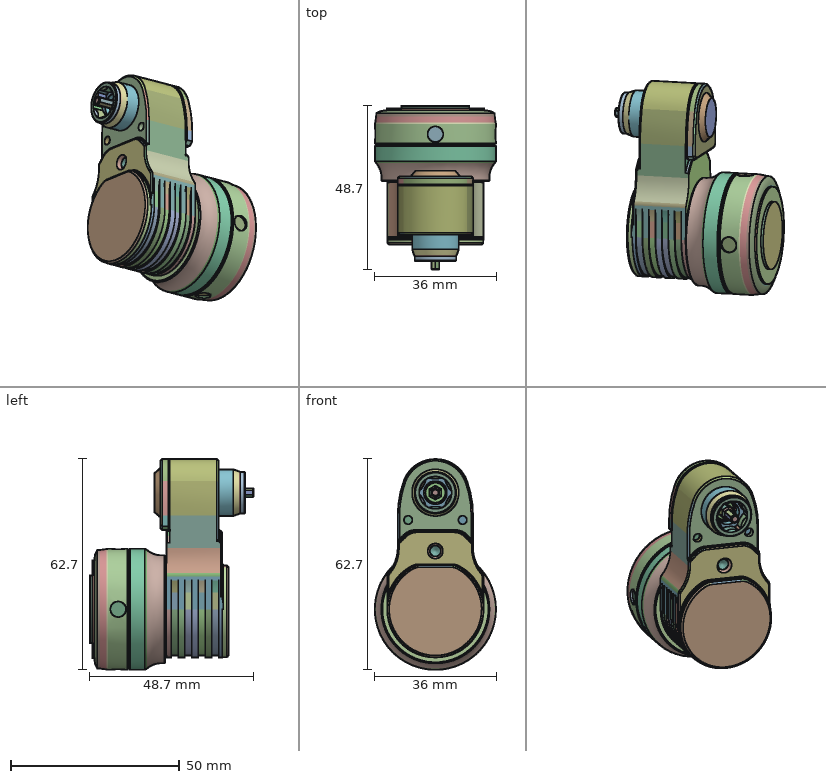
import cadquery as cq
import math


TOTAL_HEIGHT = 62.65

WHEEL_DIAMETER = 36.0
WHEEL_R = WHEEL_DIAMETER / 2
WHEEL_NECK_R = 16.1
WHEEL_NECK_START_Y = 0.25
WHEEL_NECK_CHAMFER = 0.4
NECK_FLARE_MID = (16.35, 3.4)
NECK_FLARE_END_Y = 5.75
NECK_FLARE_END_R = 17.65
RIM_START_Y = 6.3
RIM_END_Y = 17.35
SPLIT_Y = 11.15
SPLIT_WIDTH = 0.25
SPLIT_DEPTH = 1.55
SPLIT_CHAMFER = 0.3
SHOULDER_TAPER_START_Y = 17.7
SHOULDER_TAPER_START_R = 17.9
SHOULDER_TAPER_END_Y = 19.6
SHOULDER_TAPER_END_R = 17.65
SHOULDER_Y = 20.5
SHOULDER_R = 17.6
CROWN_MID = (16.65, 21.0)
CROWN_END_Y = 21.35
CROWN_END_R = 15.05
FACE_R = 14.55
FACE_Y = 21.9
HUB_DISC_R = 10.1
WHEEL_END_Y = 22.7
HUB_COLLAR_R = 13.8

POCKET_R = 2.3
POCKET_Y = 14.3
POCKET_DEPTH = 0.75
POCKET_COUNT = 4

ARM_TOP_R = 10.0
SPINDLE_Z = TOTAL_HEIGHT - WHEEL_R - ARM_TOP_R
ARM_HALF_WIDTH = 11.2
ARM_STRAIGHT_TOP_Z = 27.8
ARM_STRAIGHT_BOTTOM_Z = 18.15
ARM_NECK_R = 11.3
BODY_R = 14.35
FLANK_TOP_Z = 9.7

BODY_FRONT_Y = -16.6
ARM_FRONT_Y = -15.6
ARM_BACK_Y = -1.05
ARM_CHAMFER = 0.55
BODY_SIDE_CHAMFER = 0.45
BEVEL_BOTTOM_Z = 3.75

STEP_TOP_Z = 23.25
STEP_FLAT_HALF = 5.65
STEP_CORNER_R = 4.9
STEP_FRONT_CHAMFER = 0.45
STEP_BACK_CHAMFER = 0.25
STEP_FOOT = 0.4
STEP_FOOT_EDGE = 0.05

LID_R = 14.3
LID_FRONT_Y = -18.55
LID_FLAT_Z = 13.0
LID_CORNER_R = 5.0
LID_CHAMFER = 0.55
LID_FOOT = 0.4
LID_FOOT_EDGE = 0.05

GRIP_DEPTH = 0.55
GRIP_WIDTH = 2.05
GRIP_PITCH = 4.0
GRIP_FIRST_Y = -2.5
GRIP_COUNT = 4
GRIP_TOP_Z = 8.6
GRIP_RUNOUT_Z = 4.95

COVER_BACK_Y = 1.8
COVER_FRONT_Y = -0.6
COVER_BOTTOM_Z = 23.5
COVER_CORNER = 1.2
COVER_CHAMFER = 0.55
COVER_SEAM_DEPTH = 0.25
COVER_BOSS_BASE_R = 7.3
COVER_BOSS_TOP_R = 5.8
COVER_BOSS_END_Y = 3.5

NOSE_R = 6.95
NOSE_STRAIGHT_END_Y = -19.85
NOSE_TAPER_MID = (6.7, -20.7)
NOSE_TAPER_END_Y = -21.6
NOSE_TAPER_END_R = 6.3
NOSE_TIP_START_Y = -21.9
NOSE_TIP_R = 6.2
NOSE_END_Y = -23.4
NOSE_CHAMFER = 0.25

SOCKET_R = 4.8
SOCKET_DEPTH = 3.45
LOBE_COUNT = 6
LOBE_R = 7.25
LOBE_INNER_R = 4.15
LOBE_LEAD_DEPTH = 0.7
SOCKET_BORE_R = 3.45
SOCKET_BORE_DEPTH = 6.25
SOCKET_WELL_R = 2.95
SOCKET_WELL_DEPTH = 6.9
SPINDLE_END_Y = -26.0
SPINDLE_CORNER_R = 1.4
SPINDLE_ROOT_CORNER_R = 2.05
SPINDLE_ROOT_Y = -19.7
SPINDLE_NECK_Y = -20.25
SPINDLE_CHAMFER = 0.3

PIN_HOLE_X = 8.1
PIN_HOLE_Z = 26.5
PIN_HOLE_R = 1.25
PIN_HOLE_DEPTH = 1.9
CENTRE_HOLE_Z = 17.3
CENTRE_HOLE_R = 2.25
CENTRE_HOLE_NECK_R = 1.6
CENTRE_HOLE_NECK_DEPTH = 1.25
CENTRE_HOLE_DEPTH = 2.2


def facing_front(y):
    """Workplane at the given Y whose extrusions run toward -Y."""
    return cq.Workplane("XZ", origin=(0, y, 0))


def disc(radius, y_back, y_front, z=0):
    return facing_front(y_back).center(0, z).circle(radius).extrude(y_back - y_front)


def turned(profile, z=0):
    """Revolve a closed (radius, y) profile about the Y direction at height z."""
    return profile.revolve(360, (0, 0, 0), (0, 1, 0)).translate((0, 0, z))


def cone(base_r, base_y, top_r, top_y, z):
    points = [(0, base_y), (base_r, base_y), (top_r, top_y), (0, top_y)]
    return turned(cq.Workplane("XY").polyline(points).close(), z)


def make_wheel():
    split_back_y = SPLIT_Y + SPLIT_WIDTH / 2
    split_front_y = SPLIT_Y - SPLIT_WIDTH / 2
    split_lip_r = WHEEL_R - SPLIT_CHAMFER
    split_floor_r = WHEEL_R - SPLIT_DEPTH
    profile = (
        cq.Workplane("XY")
        .moveTo(0, WHEEL_NECK_START_Y)
        .lineTo(WHEEL_NECK_R - WHEEL_NECK_CHAMFER, WHEEL_NECK_START_Y)
        .lineTo(WHEEL_NECK_R, WHEEL_NECK_START_Y + WHEEL_NECK_CHAMFER)
        .threePointArc(NECK_FLARE_MID, (NECK_FLARE_END_R, NECK_FLARE_END_Y))
        .lineTo(WHEEL_R, RIM_START_Y)
        .lineTo(WHEEL_R, split_front_y - SPLIT_CHAMFER)
        .lineTo(split_lip_r, split_front_y)
        .lineTo(split_floor_r, split_front_y)
        .lineTo(split_floor_r, split_back_y)
        .lineTo(split_lip_r, split_back_y)
        .lineTo(WHEEL_R, split_back_y + SPLIT_CHAMFER)
        .lineTo(WHEEL_R, RIM_END_Y)
        .lineTo(SHOULDER_TAPER_START_R, SHOULDER_TAPER_START_Y)
        .lineTo(SHOULDER_TAPER_END_R, SHOULDER_TAPER_END_Y)
        .lineTo(SHOULDER_R, SHOULDER_Y)
        .threePointArc(CROWN_MID, (CROWN_END_R, CROWN_END_Y))
        .lineTo(FACE_R, CROWN_END_Y)
        .lineTo(FACE_R, FACE_Y)
        .lineTo(HUB_DISC_R, FACE_Y)
        .lineTo(HUB_DISC_R, WHEEL_END_Y)
        .lineTo(0, WHEEL_END_Y)
        .close()
    )
    wheel = turned(profile)
    pocket = (
        cq.Workplane("XY", origin=(0, POCKET_Y, WHEEL_R - POCKET_DEPTH))
        .circle(POCKET_R)
        .extrude(2 * POCKET_DEPTH)
    )
    for i in range(POCKET_COUNT):
        wheel = wheel.cut(pocket.rotate((0, 0, 0), (0, 1, 0), 360 / POCKET_COUNT * i))
    return wheel


def arm_outline(y):
    """Symmetric outline of arm and body: round top, narrow waist, round bottom."""
    rise = SPINDLE_Z - ARM_STRAIGHT_TOP_Z
    side_r = (ARM_HALF_WIDTH**2 + rise**2 - ARM_TOP_R**2) / (2 * (ARM_HALF_WIDTH - ARM_TOP_R))
    side_centre_x = ARM_HALF_WIDTH - side_r
    tangent_angle = math.asin(rise / (side_r - ARM_TOP_R))
    tangent_x = side_centre_x + side_r * math.cos(tangent_angle)
    tangent_z = ARM_STRAIGHT_TOP_Z + side_r * math.sin(tangent_angle)
    side_mid_x = side_centre_x + side_r * math.cos(tangent_angle / 2)
    side_mid_z = ARM_STRAIGHT_TOP_Z + side_r * math.sin(tangent_angle / 2)

    swing_x = BODY_R - ARM_HALF_WIDTH
    swing_z = ARM_STRAIGHT_BOTTOM_Z - FLANK_TOP_Z
    turn = 2 * math.atan(swing_x / swing_z)
    flank_round_r = swing_z / math.sin(turn) - ARM_NECK_R
    neck_end_x = ARM_HALF_WIDTH + ARM_NECK_R * (1 - math.cos(turn))
    neck_end_z = ARM_STRAIGHT_BOTTOM_Z - ARM_NECK_R * math.sin(turn)
    neck_mid_x = ARM_HALF_WIDTH + ARM_NECK_R * (1 - math.cos(turn / 2))
    neck_mid_z = ARM_STRAIGHT_BOTTOM_Z - ARM_NECK_R * math.sin(turn / 2)
    round_x = BODY_R - flank_round_r * (1 - math.cos(turn / 2))
    round_z = FLANK_TOP_Z + flank_round_r * math.sin(turn / 2)

    return (
        facing_front(y)
        .moveTo(BODY_R, 0)
        .lineTo(BODY_R, FLANK_TOP_Z)
        .threePointArc((round_x, round_z), (neck_end_x, neck_end_z))
        .threePointArc((neck_mid_x, neck_mid_z), (ARM_HALF_WIDTH, ARM_STRAIGHT_BOTTOM_Z))
        .lineTo(ARM_HALF_WIDTH, ARM_STRAIGHT_TOP_Z)
        .threePointArc((side_mid_x, side_mid_z), (tangent_x, tangent_z))
        .threePointArc((0, SPINDLE_Z + ARM_TOP_R), (-tangent_x, tangent_z))
        .threePointArc((-side_mid_x, side_mid_z), (-ARM_HALF_WIDTH, ARM_STRAIGHT_TOP_Z))
        .lineTo(-ARM_HALF_WIDTH, ARM_STRAIGHT_BOTTOM_Z)
        .threePointArc((-neck_mid_x, neck_mid_z), (-neck_end_x, neck_end_z))
        .threePointArc((-round_x, round_z), (-BODY_R, FLANK_TOP_Z))
        .lineTo(-BODY_R, 0)
        .threePointArc((0, -BODY_R), (BODY_R, 0))
        .close()
    )


def below_step(y_back, y_front, growth=0):
    """Block below the step: flat top, rounded corners, 45 degree shoulders.

    The upper edge is moved outward by the growth.
    """
    reach = 2 * BODY_R
    top_z = STEP_TOP_Z + growth
    corner_r = STEP_CORNER_R + growth
    corner_x = STEP_FLAT_HALF + corner_r * math.tan(math.pi / 8)
    shoulder_end_z = top_z - (reach - corner_x)
    points = [
        (-reach, -reach),
        (reach, -reach),
        (reach, shoulder_end_z),
        (corner_x, top_z),
        (-corner_x, top_z),
        (-reach, shoulder_end_z),
    ]
    block = facing_front(y_back).polyline(points).close().extrude(y_back - y_front)
    return block.edges("|Y and >Z").fillet(corner_r)


def make_arm():
    """Upper arm with a bevelled front edge, ending inside the thicker body."""
    depth = ARM_BACK_Y - ARM_FRONT_Y
    arm = arm_outline(ARM_BACK_Y).extrude(depth).faces("<Y").chamfer(ARM_CHAMFER)
    body_part = (
        facing_front(ARM_BACK_Y)
        .rect(4 * BODY_R, 4 * BODY_R)
        .extrude(depth)
        .translate((0, 0, ARM_STRAIGHT_BOTTOM_Z - 2 * BODY_R))
    )
    return arm.cut(body_part)


def make_body():
    """Thick lower part; its front edge is bevelled above the round bottom only."""
    depth = -BODY_FRONT_Y
    upper = arm_outline(0).extrude(depth).faces("<Y").chamfer(BODY_SIDE_CHAMFER)
    step = below_step(0, BODY_FRONT_Y).faces("<Y").chamfer(STEP_FRONT_CHAMFER)
    step = step.faces(">Y").chamfer(STEP_BACK_CHAMFER)
    foot = below_step(ARM_BACK_Y, ARM_FRONT_Y - STEP_FOOT, STEP_FOOT)
    foot = foot.faces("<Y").chamfer(STEP_FOOT - STEP_FOOT_EDGE)
    step = step.union(foot)
    below_bevel = (
        facing_front(0)
        .rect(4 * BODY_R, 4 * BODY_R)
        .extrude(depth)
        .translate((0, 0, BEVEL_BOTTOM_Z - 2 * BODY_R))
    )
    round_bottom = (
        facing_front(0)
        .moveTo(BODY_R, 0)
        .lineTo(BODY_R, BEVEL_BOTTOM_Z)
        .lineTo(-BODY_R, BEVEL_BOTTOM_Z)
        .lineTo(-BODY_R, 0)
        .threePointArc((0, -BODY_R), (BODY_R, 0))
        .close()
        .extrude(depth)
    )
    return upper.cut(below_bevel).intersect(step).union(round_bottom)


def lid_block(radius, flat_z, y_back, y_front):
    """Round block with a flat top that runs into the circle through rounded corners."""
    flat_half = math.sqrt(radius**2 - flat_z**2)
    block = (
        facing_front(y_back)
        .moveTo(-flat_half, flat_z)
        .lineTo(flat_half, flat_z)
        .threePointArc((0, -radius), (-flat_half, flat_z))
        .close()
        .extrude(y_back - y_front)
    )
    return block.edges("|Y").fillet(LID_CORNER_R)


def make_lid():
    lid = lid_block(LID_R, LID_FLAT_Z, BODY_FRONT_Y, LID_FRONT_Y).faces("<Y").chamfer(LID_CHAMFER)
    foot_front_y = BODY_FRONT_Y - LID_FOOT
    foot = lid_block(LID_R + LID_FOOT, LID_FLAT_Z + LID_FOOT, BODY_FRONT_Y, foot_front_y)
    foot = foot.faces("<Y").chamfer(LID_FOOT - LID_FOOT_EDGE)
    upper_half = (
        facing_front(BODY_FRONT_Y)
        .rect(2 * BODY_R, 2 * BODY_R)
        .extrude(LID_FOOT)
        .translate((0, 0, BODY_R))
    )
    return lid.union(foot.intersect(upper_half))


def grip_groove(y_centre):
    """Ring cut around the round bottom and up both flanks, running out at the top."""
    floor_r = BODY_R - GRIP_DEPTH
    reach = 2 * BODY_R
    y_back = y_centre + GRIP_WIDTH / 2
    runout_height = GRIP_TOP_Z - GRIP_RUNOUT_Z
    runout_r = (runout_height**2 + GRIP_DEPTH**2) / (2 * GRIP_DEPTH)
    mid_angle = math.asin(runout_height / runout_r) / 2
    mid_x = floor_r + runout_r * (1 - math.cos(mid_angle))
    mid_z = GRIP_RUNOUT_Z + runout_r * math.sin(mid_angle)
    outside = (
        facing_front(y_back)
        .moveTo(-reach, -reach)
        .lineTo(reach, -reach)
        .lineTo(reach, GRIP_TOP_Z)
        .lineTo(BODY_R, GRIP_TOP_Z)
        .threePointArc((mid_x, mid_z), (floor_r, GRIP_RUNOUT_Z))
        .lineTo(floor_r, 0)
        .threePointArc((0, -floor_r), (-floor_r, 0))
        .lineTo(-floor_r, GRIP_RUNOUT_Z)
        .threePointArc((-mid_x, mid_z), (-BODY_R, GRIP_TOP_Z))
        .lineTo(-reach, GRIP_TOP_Z)
        .close()
    )
    return outside.extrude(GRIP_WIDTH)


def make_cover():
    """Back plate with the outline of the arm top, a seam below it and a cone boss."""
    thickness = COVER_BACK_Y - COVER_FRONT_Y
    cover_top_z = SPINDLE_Z + ARM_TOP_R
    keep = (
        facing_front(COVER_BACK_Y)
        .rect(2 * ARM_HALF_WIDTH, 2 * (cover_top_z - COVER_BOTTOM_Z))
        .extrude(thickness)
        .edges("|Y and <Z")
        .chamfer(COVER_CORNER)
        .translate((0, 0, cover_top_z))
    )
    cover = arm_outline(COVER_BACK_Y).extrude(thickness).intersect(keep)
    cover = cover.faces(">Y").chamfer(COVER_CHAMFER)
    seam_depth = COVER_FRONT_Y - ARM_BACK_Y
    seam = cover.faces("<Y").wires().toPending().workplane().offset2D(-COVER_SEAM_DEPTH)
    seam = seam.extrude(seam_depth, combine=False)
    boss = cone(COVER_BOSS_BASE_R, COVER_BACK_Y, COVER_BOSS_TOP_R, COVER_BOSS_END_Y, SPINDLE_Z)
    return cover.union(seam).union(boss)


def make_nose():
    profile = (
        cq.Workplane("XY")
        .moveTo(0, ARM_BACK_Y)
        .lineTo(NOSE_R, ARM_BACK_Y)
        .lineTo(NOSE_R, NOSE_STRAIGHT_END_Y)
        .threePointArc(NOSE_TAPER_MID, (NOSE_TAPER_END_R, NOSE_TAPER_END_Y))
        .lineTo(NOSE_TIP_R, NOSE_TIP_START_Y)
        .lineTo(NOSE_TIP_R, NOSE_END_Y + NOSE_CHAMFER)
        .lineTo(NOSE_TIP_R - NOSE_CHAMFER, NOSE_END_Y)
        .lineTo(0, NOSE_END_Y)
        .close()
    )
    return turned(profile, SPINDLE_Z)


def make_socket():
    """Round socket narrowed by shallow lobes, with a conical lead-in and a stepped bore."""
    floor_y = NOSE_END_Y + SOCKET_DEPTH
    socket = disc(SOCKET_R, floor_y, NOSE_END_Y, SPINDLE_Z)
    lobes = (
        facing_front(floor_y)
        .center(0, SPINDLE_Z)
        .polarArray(LOBE_INNER_R + LOBE_R, 30, 360, LOBE_COUNT)
        .circle(LOBE_R)
        .extrude(SOCKET_DEPTH, combine=False)
    )
    lead_in = cone(SOCKET_R, NOSE_END_Y, LOBE_INNER_R, NOSE_END_Y + LOBE_LEAD_DEPTH, SPINDLE_Z)
    bore = disc(SOCKET_BORE_R, NOSE_END_Y + SOCKET_BORE_DEPTH, NOSE_END_Y, SPINDLE_Z)
    well = disc(SOCKET_WELL_R, NOSE_END_Y + SOCKET_WELL_DEPTH, NOSE_END_Y, SPINDLE_Z)
    return socket.cut(lobes).union(lead_in).union(bore).union(well)


def hexagon(y, corner_r):
    """Hexagon about the spindle axis with corners pointing up and down."""
    points = []
    for i in range(6):
        angle = math.radians(90 + 60 * i)
        points.append((corner_r * math.cos(angle), SPINDLE_Z + corner_r * math.sin(angle)))
    return facing_front(y).polyline(points).close()


def make_spindle():
    """Hex spindle standing on the socket floor, thicker at its root."""
    floor_y = NOSE_END_Y + SOCKET_WELL_DEPTH
    tip = hexagon(SPINDLE_NECK_Y, SPINDLE_CORNER_R).extrude(SPINDLE_NECK_Y - SPINDLE_END_Y)
    tip = tip.faces("<Y").chamfer(SPINDLE_CHAMFER)
    root = hexagon(floor_y, SPINDLE_ROOT_CORNER_R).extrude(floor_y - SPINDLE_ROOT_Y)
    root_wire = hexagon(SPINDLE_ROOT_Y, SPINDLE_ROOT_CORNER_R).wires().val()
    neck_wire = hexagon(SPINDLE_NECK_Y, SPINDLE_CORNER_R).wires().val()
    neck = cq.Workplane(cq.Solid.makeLoft([root_wire, neck_wire], True))
    return root.union(neck).union(tip)


def pin_holes():
    return (
        facing_front(ARM_FRONT_Y + PIN_HOLE_DEPTH)
        .pushPoints([(-PIN_HOLE_X, PIN_HOLE_Z), (PIN_HOLE_X, PIN_HOLE_Z)])
        .circle(PIN_HOLE_R)
        .extrude(PIN_HOLE_DEPTH)
    )


def centre_hole():
    """Tapered hole with a conical bottom."""
    points = [
        (0, BODY_FRONT_Y),
        (CENTRE_HOLE_R, BODY_FRONT_Y),
        (CENTRE_HOLE_NECK_R, BODY_FRONT_Y + CENTRE_HOLE_NECK_DEPTH),
        (0, BODY_FRONT_Y + CENTRE_HOLE_DEPTH),
    ]
    return turned(cq.Workplane("XY").polyline(points).close(), CENTRE_HOLE_Z)


body = make_body()
for groove_index in range(GRIP_COUNT):
    body = body.cut(grip_groove(GRIP_FIRST_Y - GRIP_PITCH * groove_index))
body = body.union(make_lid()).union(make_arm())
hub_collar = disc(HUB_COLLAR_R, 2 * WHEEL_NECK_START_Y, -WHEEL_NECK_START_Y)

result = body.union(hub_collar).union(make_wheel())
result = result.union(make_cover()).union(make_nose())
result = result.cut(make_socket()).union(make_spindle())
result = result.cut(pin_holes()).cut(centre_hole())